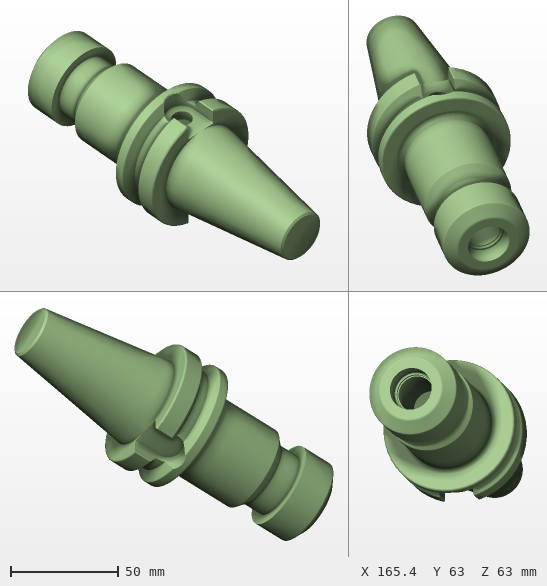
import cadquery as cq
import math


GAUGE_DIAMETER = 44.45
TAPER_LENGTH = 65.4
TAPER_RATE = 7 / 24
TAPER_END_CHAMFER = 0.9

FLANGE_DIAMETER = 63.0
FLANGE_WIDTH = 25.0
FLANGE_BACK_X = -2.0
FLANGE_FRONT_X = FLANGE_BACK_X - FLANGE_WIDTH
FLANGE_FRONT_ROUND = 1.0
FLANGE_BACK_ROUND = 0.9

GROOVE_DIAMETER = 53.0
GROOVE_OFFSET = 14.6
GROOVE_X = FLANGE_BACK_X - GROOVE_OFFSET
GROOVE_FLOOR_WIDTH = 4.7
GROOVE_WALL_ANGLE = 60.0
GROOVE_EDGE_ROUND = 0.7

NOSE_X = -100.0
BODY_DIAMETER = 42.0
NUT_LENGTH = 20.0
NUT_FACE_DIAMETER = 30.0
NUT_FACE_ROUND = 1.8
NUT_BEVEL_LENGTH = 4.0
NUT_BEVEL_ROUND = 0.8
NECK_DIAMETER = 32.0
NECK_LENGTH = 10.6
BODY_BEVEL = (BODY_DIAMETER - NECK_DIAMETER) / 2
BODY_BEVEL_ROUND = 0.5

RELIEF_DIAMETER = 41.8
RELIEF_DEPTH = (BODY_DIAMETER - RELIEF_DIAMETER) / 2
RELIEF_LENGTH = 3.5
RELIEF_RAMP = 0.7
RELIEF_FACE_DIAMETER = 47.8
RELIEF_FILLET = 2.0

BORE_STEPS = [
    (20.0, 9.0),
    (18.0, 10.5),
    (17.0, 40.0),
]

SLOT_WIDTH = 16.1
SLOT_FLOOR_HEIGHT = 22.5
SLOT_FLOOR_FILLET = 0.8
SLOT_EDGE_CHAMFER = 0.5
SLOT_LENGTH = 13.0
SLOT_END_CENTRE_X = FLANGE_BACK_X - SLOT_LENGTH

HOLE_X = FLANGE_FRONT_X + FLANGE_WIDTH / 2
HOLE_DIAMETER = 10.0
HOLE_DEPTH = 5.0
DIMPLE_DIAMETER = 4.0
DRILL_POINT_ANGLE = 118.0

TOLERANCE = 0.01


def turned_blank():
    """Revolve the complete outer profile about the X axis."""
    nose_radius = NUT_FACE_DIAMETER / 2
    body_radius = BODY_DIAMETER / 2
    neck_radius = NECK_DIAMETER / 2
    relief_radius = RELIEF_DIAMETER / 2
    flange_radius = FLANGE_DIAMETER / 2
    groove_radius = GROOVE_DIAMETER / 2
    gauge_radius = GAUGE_DIAMETER / 2
    taper_start_radius = gauge_radius - FLANGE_BACK_X * TAPER_RATE / 2
    taper_end_radius = gauge_radius - TAPER_LENGTH * TAPER_RATE / 2

    nut_back_x = NOSE_X + NUT_LENGTH
    neck_end_x = nut_back_x + NECK_LENGTH
    relief_x = FLANGE_FRONT_X - RELIEF_LENGTH
    relief_face_x = FLANGE_FRONT_X + RELIEF_DEPTH
    relief_face_radius = RELIEF_FACE_DIAMETER / 2
    fillet_end_radius = relief_radius + RELIEF_FILLET
    groove_half_floor = GROOVE_FLOOR_WIDTH / 2
    groove_wall_run = (flange_radius - groove_radius) / math.tan(math.radians(GROOVE_WALL_ANGLE))
    groove_half_top = groove_half_floor + groove_wall_run

    profile = (
        cq.Workplane("XY")
        .moveTo(NOSE_X, 0)
        .lineTo(NOSE_X, nose_radius)
        .lineTo(NOSE_X + NUT_BEVEL_LENGTH, body_radius)
        .lineTo(nut_back_x, body_radius)
        .lineTo(nut_back_x, neck_radius)
        .lineTo(neck_end_x, neck_radius)
        .lineTo(neck_end_x + BODY_BEVEL, body_radius)
        .lineTo(relief_x, body_radius)
        .lineTo(relief_x + RELIEF_RAMP, relief_radius)
        .lineTo(relief_face_x - RELIEF_FILLET, relief_radius)
        .radiusArc((relief_face_x, fillet_end_radius), -RELIEF_FILLET)
        .lineTo(FLANGE_FRONT_X, relief_face_radius)
        .lineTo(FLANGE_FRONT_X, flange_radius)
        .lineTo(GROOVE_X - groove_half_top, flange_radius)
        .lineTo(GROOVE_X - groove_half_floor, groove_radius)
        .lineTo(GROOVE_X + groove_half_floor, groove_radius)
        .lineTo(GROOVE_X + groove_half_top, flange_radius)
        .lineTo(FLANGE_BACK_X, flange_radius)
        .lineTo(FLANGE_BACK_X, taper_start_radius)
        .lineTo(TAPER_LENGTH, taper_end_radius)
        .lineTo(TAPER_LENGTH, 0)
        .close()
    )
    blank = profile.revolve(360, (0, 0, 0), (1, 0, 0))

    def rounded(part, x, radius, fillet):
        return part.edges(circle_at(x, radius)).fillet(fillet)

    blank = rounded(blank, NOSE_X, nose_radius, NUT_FACE_ROUND)
    blank = rounded(blank, NOSE_X + NUT_BEVEL_LENGTH, body_radius, NUT_BEVEL_ROUND)
    blank = rounded(blank, neck_end_x, neck_radius, BODY_BEVEL_ROUND)
    blank = rounded(blank, neck_end_x + BODY_BEVEL, body_radius, BODY_BEVEL_ROUND)
    blank = rounded(blank, FLANGE_FRONT_X, flange_radius, FLANGE_FRONT_ROUND)
    blank = rounded(blank, GROOVE_X - groove_half_top, flange_radius, GROOVE_EDGE_ROUND)
    blank = rounded(blank, GROOVE_X + groove_half_top, flange_radius, GROOVE_EDGE_ROUND)
    blank = rounded(blank, FLANGE_BACK_X, flange_radius, FLANGE_BACK_ROUND)
    return blank.edges(circle_at(TAPER_LENGTH, taper_end_radius)).chamfer(TAPER_END_CHAMFER)


def circle_at(x, radius):
    """Select the circular edge of the given radius, about the X axis, in the plane at x."""

    def box(half_size):
        return cq.selectors.BoxSelector(
            (x - TOLERANCE, -half_size, -half_size),
            (x + TOLERANCE, half_size, half_size),
            boundingbox=True,
        )

    return box(radius + TOLERANCE) - box(radius - TOLERANCE)


def collet_bore():
    """Blind bore entered from the nose, narrowing in steps."""
    nose_plane = cq.Workplane("YZ", origin=(NOSE_X, 0, 0))
    bore = cq.Workplane("YZ")
    for diameter, depth in BORE_STEPS:
        bore = bore.union(nose_plane.circle(diameter / 2).extrude(depth))
    return bore


def drive_slot():
    """Slot with a round inner end, open at the back of the flange, with a filleted floor."""
    half_width = SLOT_WIDTH / 2
    return (
        cq.Workplane("XY", origin=(0, 0, SLOT_FLOOR_HEIGHT))
        .moveTo(FLANGE_BACK_X, -half_width)
        .lineTo(SLOT_END_CENTRE_X, -half_width)
        .threePointArc((SLOT_END_CENTRE_X - half_width, 0), (SLOT_END_CENTRE_X, half_width))
        .lineTo(FLANGE_BACK_X, half_width)
        .close()
        .extrude(FLANGE_DIAMETER / 2)
        .edges("<Z and (not >X)")
        .fillet(SLOT_FLOOR_FILLET)
    )


def slot_floor_hole():
    """Flat-bottomed hole with a conical dimple in the middle of its floor."""
    hole_floor_z = SLOT_FLOOR_HEIGHT - HOLE_DEPTH
    dimple_radius = DIMPLE_DIAMETER / 2
    dimple_depth = dimple_radius / math.tan(math.radians(DRILL_POINT_ANGLE / 2))
    hole = cq.Workplane("XY", origin=(HOLE_X, 0, hole_floor_z))
    hole = hole.circle(HOLE_DIAMETER / 2).extrude(HOLE_DEPTH)
    dimple = cq.Solid.makeCone(
        dimple_radius, 0, dimple_depth, cq.Vector(HOLE_X, 0, hole_floor_z), cq.Vector(0, 0, -1)
    )
    return hole.union(cq.Workplane(dimple))


def slot_waste():
    """All the material that the two slots remove from the flange, with their rim edges chamfered."""
    flange_radius = FLANGE_DIAMETER / 2

    def is_slot_rim(edge):
        middle = edge.positionAt(0.5)
        on_rim = abs(math.hypot(middle.y, middle.z) - flange_radius) < TOLERANCE
        within_slot = abs(middle.y) < SLOT_WIDTH / 2 + TOLERANCE
        inside_faces = FLANGE_FRONT_X + TOLERANCE < middle.x < FLANGE_BACK_X - TOLERANCE
        return on_rim and within_slot and inside_faces

    disc = cq.Workplane("YZ", origin=(FLANGE_FRONT_X, 0, 0)).circle(flange_radius).extrude(FLANGE_WIDTH)
    top_slot = drive_slot()
    bottom_slot = top_slot.rotate((0, 0, 0), (1, 0, 0), 180)
    slotted_disc = disc.cut(top_slot).cut(bottom_slot)
    slot_rims = [edge for edge in slotted_disc.edges().vals() if is_slot_rim(edge)]
    return disc.cut(slotted_disc.newObject(slot_rims).chamfer(SLOT_EDGE_CHAMFER))


result = turned_blank().cut(slot_waste()).cut(collet_bore()).cut(slot_floor_hole())